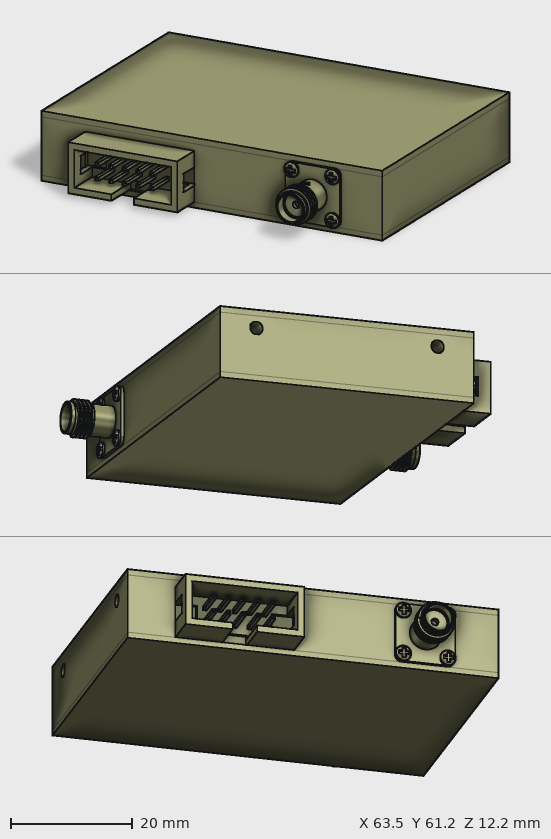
import cadquery as cq
import math

BODY_X = 63.5
BODY_Y = 44.45
BODY_Z = 12.19
COVER_THICKNESS = 1.016
FRAME_Z = BODY_Z - 2 * COVER_THICKNESS
FACE_Y = BODY_Y / 2

SIDE_HOLE_DIAMETER = 2.2
SIDE_HOLE_SPACING = 31.75
SIDE_HOLE_Z = 2.95
SIDE_HOLE_DEPTH = 5.0
DRILL_POINT_ANGLE = 118.0

HEADER_X = -13.4
HEADER_WIDTH = 20.32
HEADER_HEIGHT = 8.9
HEADER_LENGTH = 6.0
HEADER_WALL = 1.15
CAVITY_RECESS = 0.2
WINDOW_RECESS = 0.8
HEADER_Z = -FRAME_Z / 2 + HEADER_HEIGHT / 2
CAVITY_WIDTH = HEADER_WIDTH - 2 * HEADER_WALL
CAVITY_HEIGHT = HEADER_HEIGHT - 2 * HEADER_WALL
KEY_WIDTH = 4.2
KEY_HEIGHT = 1.75
WINDOW_HEIGHT = 3.25
WINDOW_LENGTH = 3.8
WINDOW_REACH = 2.6

PIN_COLUMNS = 5
PIN_ROWS = 2
PIN_PITCH = 2.54
PIN_SIZE = 0.64
PIN_LENGTH = 5.9
PIN_TIP_LENGTH = 0.5
PIN_TIP_SIZE = 0.3

COAX_X = 19.05
COAX_LENGTH = 8.38
COAX_DIAMETER = 5.35
COAX_BORE = 4.6
COAX_BORE_DEPTH = 1.9
COAX_LIP_CHAMFER = 0.1
SEAT_DIAMETER = 4.15
SEAT_DEPTH = 2.1
CONTACT_DIAMETER = 1.2
CONTACT_DEPTH = 3.0
THREAD_DIAMETER = 6.35
THREAD_PITCH = 0.7055
THREAD_TURNS = 4
THREAD_START = 4.5
THREAD_ROOT_DIAMETER = 5.45
THREAD_OVERLAP = 0.1
THREAD_MARGIN = 0.25
THREAD_ROOT_WIDTH = 0.45
THREAD_CREST_WIDTH = 0.12
PORT_DIAMETER = 1.2
PORT_OFFSET = 2.7
PORT_DEPTH = 0.25

FLANGE_SIZE = 10.16
FLANGE_THICKNESS = 0.55
SCREW_SPACING = 7.62
SCREW_DIAMETER = 2.6
SCREW_RIM_HEIGHT = 0.35
SCREW_HEAD_HEIGHT = 0.9
RECESS_LENGTH = 1.9
RECESS_WIDTH = 0.7
RECESS_DEPTH = 0.5
RECESS_TAPER = 15.0


def make_enclosure():
    """Stack the frame and covers, keeping the joint lines on the sides."""
    frame = cq.Workplane("XY").box(BODY_X, BODY_Y, FRAME_Z)
    cover = cq.Workplane("XY").box(BODY_X, BODY_Y, COVER_THICKNESS)
    cover_z = (FRAME_Z + COVER_THICKNESS) / 2
    enclosure = frame
    for z in (-cover_z, cover_z):
        enclosure = enclosure.union(cover.translate((0, 0, z)), clean=False)
    return enclosure


def make_side_hole(y):
    """Cutter for one drilled hole with a conical bottom."""
    radius = SIDE_HOLE_DIAMETER / 2
    point_depth = radius / math.tan(math.radians(DRILL_POINT_ANGLE / 2))
    profile = (
        cq.Workplane("XY")
        .moveTo(0, 0)
        .lineTo(0, radius)
        .lineTo(SIDE_HOLE_DEPTH, radius)
        .lineTo(SIDE_HOLE_DEPTH + point_depth, 0)
        .close()
    )
    drill = profile.revolve(360, (0, 0, 0), (1, 0, 0))
    return drill.translate((-BODY_X / 2, y, SIDE_HOLE_Z))


def make_pin(x, z):
    """Square header pin along -Y with a tapered tip."""
    root_plane = cq.Workplane("XZ", origin=(x, CAVITY_RECESS - FACE_Y, z))
    shank_length = PIN_LENGTH + CAVITY_RECESS - PIN_TIP_LENGTH
    shank = root_plane.rect(PIN_SIZE, PIN_SIZE).extrude(shank_length)
    tip = (
        root_plane.workplane(offset=shank_length)
        .rect(PIN_SIZE, PIN_SIZE)
        .workplane(offset=PIN_TIP_LENGTH)
        .rect(PIN_TIP_SIZE, PIN_TIP_SIZE)
        .loft()
    )
    return shank.union(tip)


def make_header_shell():
    """Solid block that becomes the header once its openings are cut."""
    shell = cq.Workplane("XZ").rect(HEADER_WIDTH, HEADER_HEIGHT).extrude(HEADER_LENGTH)
    return shell.translate((HEADER_X, -FACE_Y, HEADER_Z))


def make_header_openings():
    """Cutters for the cavity, key slot and side windows, all entering the frame slightly."""
    cavity = (
        cq.Workplane("XZ", origin=(0, CAVITY_RECESS, 0))
        .rect(CAVITY_WIDTH, CAVITY_HEIGHT)
        .extrude(HEADER_LENGTH + CAVITY_RECESS)
    )
    recess_plane = cq.Workplane("XZ", origin=(0, WINDOW_RECESS, 0))
    key_slot = (
        recess_plane.center(0, (KEY_HEIGHT - HEADER_HEIGHT) / 2)
        .rect(KEY_WIDTH, KEY_HEIGHT)
        .extrude(HEADER_LENGTH + WINDOW_RECESS)
    )
    openings = cavity.union(key_slot)

    window_width = HEADER_WALL + WINDOW_REACH
    for side in (-1, 1):
        window = (
            recess_plane.center(side * (HEADER_WIDTH - window_width) / 2, 0)
            .rect(window_width, WINDOW_HEIGHT)
            .extrude(WINDOW_LENGTH + WINDOW_RECESS)
        )
        openings = openings.union(window)
    return openings.translate((HEADER_X, -FACE_Y, HEADER_Z))


def make_pins():
    """All header pins, placed on the header and rooted in the frame."""
    pins = []
    for column in range(PIN_COLUMNS):
        for row in range(PIN_ROWS):
            x = HEADER_X + (column - (PIN_COLUMNS - 1) / 2) * PIN_PITCH
            z = HEADER_Z + (row - (PIN_ROWS - 1) / 2) * PIN_PITCH
            pins.append(make_pin(x, z))
    return pins


def make_screw_head():
    """Domed head along +Z with a cross recess."""
    radius = SCREW_DIAMETER / 2
    dome = SCREW_HEAD_HEIGHT - SCREW_RIM_HEIGHT
    sphere_radius = (radius**2 + dome**2) / (2 * dome)
    mid_x = radius / 2
    mid_z = SCREW_HEAD_HEIGHT - sphere_radius + math.sqrt(sphere_radius**2 - mid_x**2)
    head = (
        cq.Workplane("XZ")
        .lineTo(radius, 0)
        .lineTo(radius, SCREW_RIM_HEIGHT)
        .threePointArc((mid_x, mid_z), (0, SCREW_HEAD_HEIGHT))
        .close()
        .revolve(360, (0, 0, 0), (0, 1, 0))
    )
    recess_plane = cq.Workplane("XY", origin=(0, 0, SCREW_HEAD_HEIGHT))
    for length, width in ((RECESS_LENGTH, RECESS_WIDTH), (RECESS_WIDTH, RECESS_LENGTH)):
        head = head.cut(recess_plane.rect(length, width).extrude(-RECESS_DEPTH, taper=RECESS_TAPER))
    return head


def make_thread():
    """Helical ridge around Z, sunk slightly into its root cylinder."""
    root = THREAD_ROOT_DIAMETER / 2 - THREAD_OVERLAP
    crest = THREAD_DIAMETER / 2
    helix = cq.Wire.makeHelix(THREAD_PITCH, THREAD_PITCH * THREAD_TURNS, root)
    ridge = (
        cq.Workplane("XZ")
        .moveTo(root, -THREAD_ROOT_WIDTH / 2)
        .lineTo(crest, -THREAD_CREST_WIDTH / 2)
        .lineTo(crest, THREAD_CREST_WIDTH / 2)
        .lineTo(root, THREAD_ROOT_WIDTH / 2)
        .close()
        .sweep(cq.Workplane(obj=helix), isFrenet=True)
    )
    return ridge.translate((0, 0, THREAD_START))


def make_coax():
    """Flanged threaded connector along +Z; local -Y becomes the part's top."""
    flange = cq.Workplane("XY").rect(FLANGE_SIZE, FLANGE_SIZE).extrude(FLANGE_THICKNESS)
    flange = flange.edges("|Z").fillet((FLANGE_SIZE - SCREW_SPACING) / 2)
    barrel = cq.Workplane("XY").circle(COAX_DIAMETER / 2).extrude(COAX_LENGTH)
    barrel = barrel.faces(">Z").edges().chamfer(COAX_LIP_CHAMFER)
    root = (
        cq.Workplane("XY", origin=(0, 0, THREAD_START - THREAD_MARGIN))
        .circle(THREAD_ROOT_DIAMETER / 2)
        .extrude(THREAD_PITCH * THREAD_TURNS + 2 * THREAD_MARGIN)
    )
    barrel = barrel.union(root).union(make_thread())
    tip = cq.Workplane("XY", origin=(0, 0, COAX_LENGTH))
    stepped_bore = (
        (COAX_BORE, COAX_BORE_DEPTH),
        (SEAT_DIAMETER, SEAT_DEPTH),
        (CONTACT_DIAMETER, CONTACT_DEPTH),
    )
    for diameter, depth in stepped_bore:
        barrel = barrel.cut(tip.circle(diameter / 2).extrude(-depth))
    port_plane = cq.Workplane("XZ", origin=(0, -COAX_DIAMETER / 2, PORT_OFFSET))
    barrel = barrel.cut(port_plane.circle(PORT_DIAMETER / 2).extrude(-PORT_DEPTH))

    coax = flange.union(barrel)
    screw = make_screw_head()
    for x in (-SCREW_SPACING / 2, SCREW_SPACING / 2):
        for y in (-SCREW_SPACING / 2, SCREW_SPACING / 2):
            coax = coax.union(screw.translate((x, y, FLANGE_THICKNESS)))
    return coax


def place_coax():
    """Return the connectors for the +Y and -Y faces."""
    upright = make_coax().rotate((0, 0, 0), (1, 0, 0), -90)
    back = upright.translate((0, FACE_Y, 0))
    front = back.rotate((0, 0, 0), (0, 0, 1), 180)
    return [connector.translate((COAX_X, 0, 0)) for connector in (front, back)]


result = make_enclosure()
for hole_y in (-SIDE_HOLE_SPACING / 2, SIDE_HOLE_SPACING / 2):
    result = result.cut(make_side_hole(hole_y), clean=False)
result = result.union(make_header_shell(), clean=False).cut(make_header_openings(), clean=False)
for attachment in make_pins() + place_coax():
    result = result.union(attachment, clean=False)